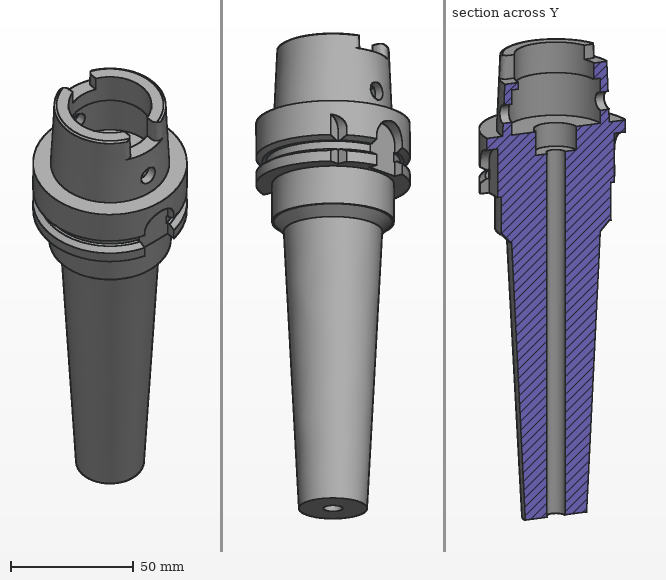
import cadquery as cq

total_length = 197.0
tail_length = 32.0
flange_width = 26.0
collar_length = 16.0
collar_cone_length = 4.2
shoulder_z = total_length - tail_length
flange_bottom_z = shoulder_z - flange_width
collar_bottom_z = flange_bottom_z - collar_length
shank_top_z = collar_bottom_z - collar_cone_length

nose_radius = 14.0
shank_top_radius = 20.2
collar_radius = 25.0
collar_cone_radius = 24.3
flange_radius = 31.5
tail_base_radius = 24.3
tail_top_radius = 22.85
tail_taper = (tail_base_radius - tail_top_radius) / tail_length
tail_chamfer_radial = 1.0
tail_chamfer_height = 0.6

groove_center_z = shoulder_z - 18.0
groove_floor_radius = 27.5
groove_floor_half_width = 1.875
groove_step_radius = 28.9
groove_mouth_half_width = 3.4

mouth_radius = 17.0
mouth_depth = 13.0
cavity_radius = 20.0
cavity_floor_z = shoulder_z
tube_bore_radius = 9.1
tube_bore_depth = 10.0
coolant_radius = 4.0

cross_hole_radius = 3.75
cross_hole_z = shoulder_z + 9.2

notch_width = 12.5
notch_corner_radius = 2.5
left_notch_depth = 6.0
right_notch_depth = 10.0

key_slot_width = 16.0
key_slot_floor = 26.5
key_slot_top_drop = 5.3
orientation_slot_width = 12.0
orientation_slot_floor = 19.8
orientation_slot_edge_y = 19.8
orientation_slot_top_drop = 5.7


def make_body():
    """Revolve the outside profile of the holder."""
    profile = [
        (0, 0),
        (nose_radius, 0),
        (shank_top_radius, shank_top_z),
        (collar_cone_radius, collar_bottom_z),
        (collar_radius, collar_bottom_z),
        (collar_radius, flange_bottom_z),
        (flange_radius, flange_bottom_z),
        (flange_radius, groove_center_z - groove_mouth_half_width),
        (groove_step_radius, groove_center_z - groove_floor_half_width),
        (groove_floor_radius, groove_center_z - groove_floor_half_width),
        (groove_floor_radius, groove_center_z + groove_floor_half_width),
        (groove_step_radius, groove_center_z + groove_floor_half_width),
        (flange_radius, groove_center_z + groove_mouth_half_width),
        (flange_radius, shoulder_z),
        (tail_base_radius, shoulder_z),
        (tail_top_radius, total_length),
        (0, total_length),
    ]
    return cq.Workplane("XZ").polyline(profile).close().revolve(360, (0, 0), (0, 1))


def axial_cylinder(radius, bottom_z, top_z):
    """Cylinder on the spindle axis between two heights."""
    return cq.Workplane("XY", origin=(0, 0, bottom_z)).circle(radius).extrude(top_z - bottom_z)


def make_bores():
    """Stepped bore: tail mouth, wider clamping cavity, tube bore and through coolant hole."""
    mouth_bottom_z = total_length - mouth_depth
    mouth = axial_cylinder(mouth_radius, mouth_bottom_z, total_length)
    cavity = axial_cylinder(cavity_radius, cavity_floor_z, mouth_bottom_z)
    tube_bore = axial_cylinder(tube_bore_radius, cavity_floor_z - tube_bore_depth, cavity_floor_z)
    coolant = axial_cylinder(coolant_radius, 0, total_length)
    return mouth.union(cavity).union(tube_bore).union(coolant)


def make_cross_hole():
    """Hole along X through both tail walls."""
    plane = cq.Workplane("YZ", origin=(0, 0, cross_hole_z))
    return plane.circle(cross_hole_radius).extrude(tail_base_radius, both=True)


def make_drive_notch(side, depth):
    """Straight notch through the tail wall on the side * X half, open at the tail end."""
    return (
        cq.Workplane("XY", origin=(side * flange_radius / 2, 0, total_length - depth / 2))
        .box(flange_radius, notch_width, depth)
    )


def round_notch_corners(body, side, depth):
    """Round the two edges where a notch's side walls meet the tail's outer surface."""
    mid_z = total_length - depth / 2
    wall_y = notch_width / 2
    mid_radius = tail_top_radius + tail_taper * depth / 2
    mid_x = side * (mid_radius**2 - wall_y**2) ** 0.5
    for corner_y in (-wall_y, wall_y):
        corner_edge = cq.selectors.NearestToPointSelector((mid_x, corner_y, mid_z))
        body = body.edges(corner_edge).fillet(notch_corner_radius)
    return body


def make_tail_chamfer():
    """Ring that bevels the outer rim of the tail end."""
    section = [
        (tail_top_radius - tail_chamfer_radial, total_length),
        (tail_base_radius, total_length),
        (tail_base_radius, total_length - tail_chamfer_height),
        (tail_top_radius, total_length - tail_chamfer_height),
    ]
    return cq.Workplane("XZ").polyline(section).close().revolve(360, (0, 0), (0, 1))


def make_flange_slot(side, floor_x, center_y, width, top_drop):
    """Round-topped slot cut along X into the flange and open at the flange's lower face."""
    radius = width / 2
    top_z = shoulder_z - top_drop
    outline = (
        cq.Workplane("YZ", origin=(side * floor_x, 0, 0))
        .moveTo(center_y - radius, flange_bottom_z)
        .lineTo(center_y - radius, top_z - radius)
        .threePointArc((center_y, top_z), (center_y + radius, top_z - radius))
        .lineTo(center_y + radius, flange_bottom_z)
        .close()
    )
    return outline.extrude(side * (flange_radius - floor_x))


result = make_body().cut(make_bores()).cut(make_cross_hole())

for notch_side, notch_depth in ((-1, left_notch_depth), (1, right_notch_depth)):
    result = result.cut(make_drive_notch(notch_side, notch_depth))
    result = round_notch_corners(result, notch_side, notch_depth)

result = result.cut(make_tail_chamfer())

for slot_side in (-1, 1):
    result = result.cut(make_flange_slot(slot_side, key_slot_floor, 0, key_slot_width, key_slot_top_drop))

orientation_slot_y = orientation_slot_edge_y + orientation_slot_width / 2
result = result.cut(
    make_flange_slot(
        -1, orientation_slot_floor, orientation_slot_y, orientation_slot_width, orientation_slot_top_drop
    )
)